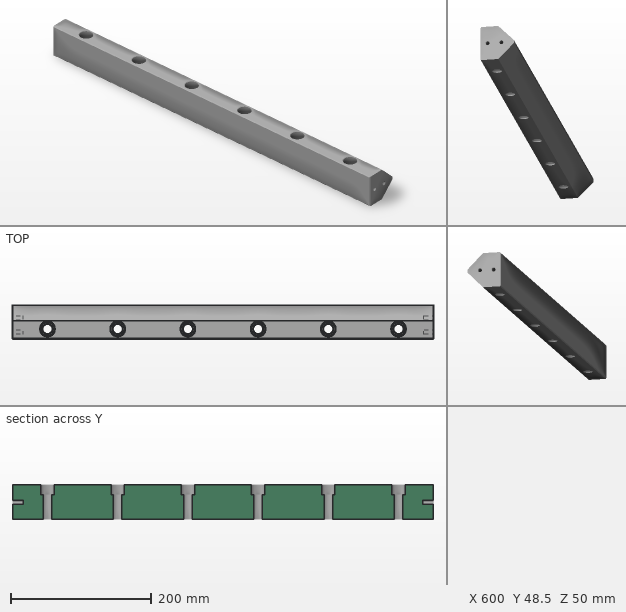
import cadquery as cq

length = 600.0
depth = 48.5
height = 50.0

body_depth = 26.0
ridge_run = depth - body_depth
tip_half_height = height / 2 - ridge_run

back_chamfer = 1.2

hole_count = 6
hole_pitch = length / hole_count
first_hole_x = hole_pitch / 2
hole_y = 14.5
hole_diameter = 14.0
counterbore_diameter = 20.0
counterbore_depth = 14.0
counterbore_chamfer = 0.75

end_hole_diameter = 5.25
end_hole_depth = 15.0
end_hole_chamfer = 0.6
first_end_hole_y = 10.5
end_hole_spacing = 20.0


def make_bar():
    """Pentagonal bar with its back face on Y = 0 and its underside on Z = 0."""
    middle = height / 2
    profile = [
        (0, 0),
        (body_depth, 0),
        (depth, middle - tip_half_height),
        (depth, middle + tip_half_height),
        (body_depth, height),
        (0, height),
    ]
    bar = cq.Workplane("YZ").polyline(profile).close().extrude(length)
    return bar.faces("<Y").chamfer(back_chamfer)


def make_mounting_hole(x):
    """Vertical through hole with a chamfered counterbore in the top face."""
    hole = cq.Workplane("XY", origin=(x, hole_y, 0)).circle(hole_diameter / 2).extrude(height)
    counterbore = (
        cq.Workplane("XY", origin=(x, hole_y, height - counterbore_depth))
        .circle(counterbore_diameter / 2)
        .extrude(counterbore_depth)
    )
    rim = cq.Workplane(
        cq.Solid.makeCone(
            counterbore_diameter / 2,
            counterbore_diameter / 2 + counterbore_chamfer,
            counterbore_chamfer,
            pnt=cq.Vector(x, hole_y, height - counterbore_chamfer),
        )
    )
    return hole.union(counterbore).union(rim)


def make_end_hole(face_x, inward, y):
    """Chamfered blind hole entering the end face at face_x; inward is +1 or -1 along X."""
    mouth = cq.Vector(face_x, y, height / 2)
    direction = cq.Vector(inward, 0, 0)
    radius = end_hole_diameter / 2
    bore = cq.Solid.makeCylinder(radius, end_hole_depth, mouth, direction)
    rim = cq.Solid.makeCone(radius + end_hole_chamfer, radius, end_hole_chamfer, mouth, direction)
    return cq.Workplane(bore).union(cq.Workplane(rim))


result = make_bar()

for index in range(hole_count):
    result = result.cut(make_mounting_hole(first_hole_x + index * hole_pitch))

for face_x, inward in ((0, 1), (length, -1)):
    for y in (first_end_hole_y, first_end_hole_y + end_hole_spacing):
        result = result.cut(make_end_hole(face_x, inward, y))